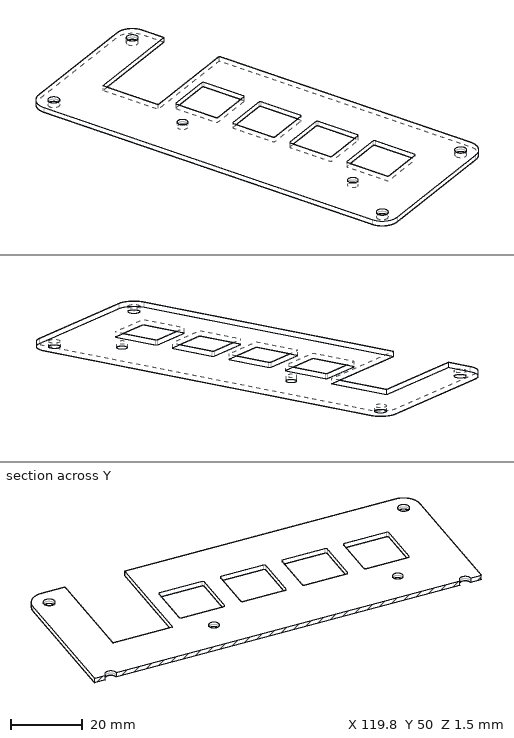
import cadquery as cq

LENGTH = 119.8
WIDTH = 50.0
THICKNESS = 1.5
CORNER_RADIUS = 5.0

MOUNT_HOLE_DIAMETER = 3.4

NOTCH_WIDTH = 18.5
NOTCH_DEPTH = 31.0
NOTCH_FROM_LEFT = 12.3

WINDOW_COUNT = 4
WINDOW_SIZE = 14.0
WINDOW_PITCH = 19.0
WINDOW_CORNER_RADIUS = 0.5
ROW_CENTER_X = 10.2
ROW_CENTER_Y = 4.0

SMALL_HOLE_DIAMETER = 3.0
SMALL_HOLE_SPACING = 56.9
SMALL_HOLE_DROP = 14.1


def make_plate():
    """Flat plate with rounded corners."""
    return cq.Workplane("XY").box(LENGTH, WIDTH, THICKNESS).edges("|Z").fillet(CORNER_RADIUS)


def make_mount_holes():
    """Cutters for one hole near each plate corner."""
    return (
        cq.Workplane("XY")
        .rect(LENGTH - 2 * CORNER_RADIUS, WIDTH - 2 * CORNER_RADIUS, forConstruction=True)
        .vertices()
        .circle(MOUNT_HOLE_DIAMETER / 2)
        .extrude(THICKNESS, both=True)
    )


def make_notch():
    """Cutter for the notch in the +Y edge."""
    center_x = -LENGTH / 2 + NOTCH_FROM_LEFT + NOTCH_WIDTH / 2
    center_y = WIDTH / 2 - NOTCH_DEPTH / 2
    return (
        cq.Workplane("XY")
        .center(center_x, center_y)
        .rect(NOTCH_WIDTH, NOTCH_DEPTH)
        .extrude(THICKNESS, both=True)
    )


def make_windows():
    """Cutters for the row of windows with slightly rounded corners."""
    return (
        cq.Workplane("XY")
        .center(ROW_CENTER_X, ROW_CENTER_Y)
        .rarray(WINDOW_PITCH, WINDOW_PITCH, WINDOW_COUNT, 1)
        .rect(WINDOW_SIZE, WINDOW_SIZE)
        .extrude(THICKNESS)
        .translate((0, 0, -THICKNESS / 2))
        .edges("|Z")
        .fillet(WINDOW_CORNER_RADIUS)
    )


def make_small_holes():
    """Cutters for the two holes, centred under the window row."""
    return (
        cq.Workplane("XY")
        .center(ROW_CENTER_X, ROW_CENTER_Y - SMALL_HOLE_DROP)
        .rarray(SMALL_HOLE_SPACING, SMALL_HOLE_SPACING, 2, 1)
        .circle(SMALL_HOLE_DIAMETER / 2)
        .extrude(THICKNESS, both=True)
    )


result = (
    make_plate()
    .cut(make_mount_holes())
    .cut(make_notch())
    .cut(make_windows())
    .cut(make_small_holes())
)